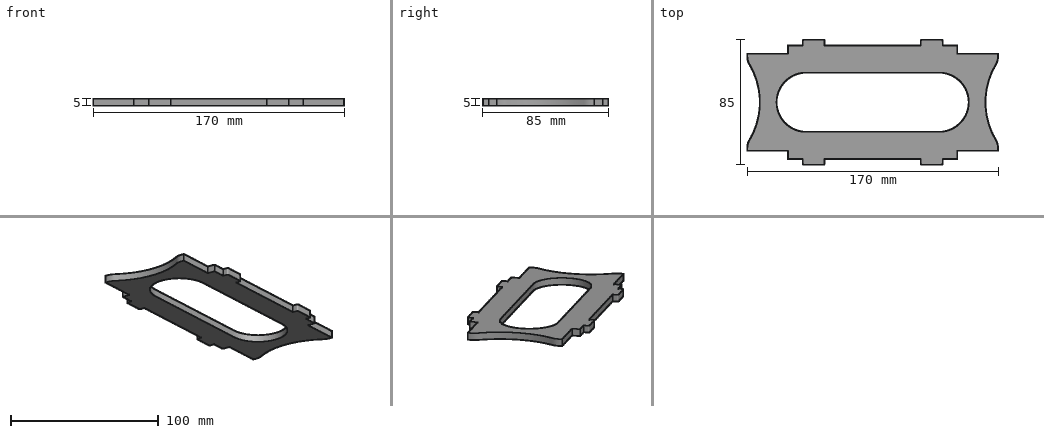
import cadquery as cq
import math

length = 170.0
thickness = 5.0
end_width = 66.0

shoulder_length = 115.0
shoulder_width = 77.2
tab_length = 15.0
tab_spacing = 80.0
tab_tip_width = 85.0
tab_corner_radius = 1.0

slot_length = 130.0
slot_width = 40.0

end_depth = 8.5
end_radius = 50.0
tip_radius = 10.0

end_center_x = length / 2 - end_depth + end_radius
tip_center_x = length / 2 - tip_radius
blend_angle = math.acos((end_center_x - tip_center_x) / (end_radius + tip_radius))
tip_center_y = (end_radius + tip_radius) * math.sin(blend_angle)
blend_x = end_center_x - end_radius * math.cos(blend_angle)
blend_y = end_radius * math.sin(blend_angle)
tip_mid_x = tip_center_x + tip_radius * math.cos(blend_angle / 2)
tip_mid_y = tip_center_y - tip_radius * math.sin(blend_angle / 2)


def make_end_plate():
    """Full-length plate with concave ends."""
    half_length = length / 2
    half_width = end_width / 2
    waist_x = half_length - end_depth
    return (
        cq.Workplane("XY")
        .moveTo(-half_length, half_width)
        .lineTo(half_length, half_width)
        .lineTo(half_length, tip_center_y)
        .threePointArc((tip_mid_x, tip_mid_y), (blend_x, blend_y))
        .threePointArc((waist_x, 0), (blend_x, -blend_y))
        .threePointArc((tip_mid_x, -tip_mid_y), (half_length, -tip_center_y))
        .lineTo(half_length, -half_width)
        .lineTo(-half_length, -half_width)
        .lineTo(-half_length, -tip_center_y)
        .threePointArc((-tip_mid_x, -tip_mid_y), (-blend_x, -blend_y))
        .threePointArc((-waist_x, 0), (-blend_x, blend_y))
        .threePointArc((-tip_mid_x, tip_mid_y), (-half_length, tip_center_y))
        .close()
        .extrude(thickness)
    )


def make_shoulders():
    """Wider middle section."""
    return cq.Workplane("XY").rect(shoulder_length, shoulder_width).extrude(thickness)


def make_tab_bars():
    """Two cross bars whose rounded ends form the four tabs."""
    return (
        cq.Workplane("XY")
        .pushPoints([(-tab_spacing / 2, 0), (tab_spacing / 2, 0)])
        .rect(tab_length, tab_tip_width)
        .extrude(thickness)
        .edges("|Z")
        .fillet(tab_corner_radius)
    )


def make_slot():
    """Round-ended cutter for the central opening."""
    return cq.Workplane("XY").slot2D(slot_length, slot_width).extrude(thickness)


result = make_end_plate().union(make_shoulders()).union(make_tab_bars()).cut(make_slot())